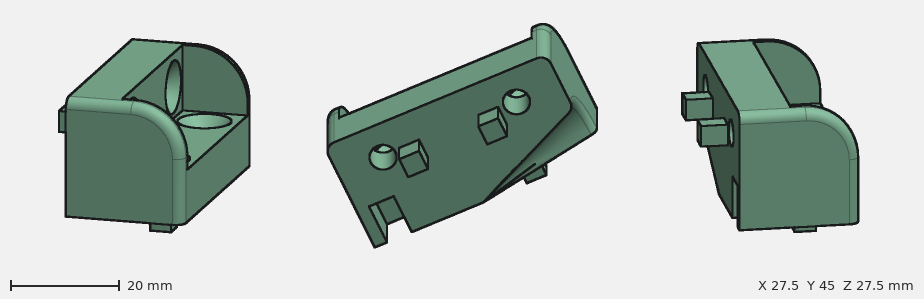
import cadquery as cq


side = 22.5
length = 45.0
leg_thickness = 10.0
cheek_thickness = 3.0
corner_radius = 10.0
edge_radius = 2.0

screw_diameter = 5.0
countersink_diameter = 10.0
countersink_depth = 2.5
screw_height = 16.0
screw_spacing = 27.0

peg_size = 4.0
peg_length = 5.0
peg_bottom = 12.5
peg_spacing = 16.0

notch_size = 8.0
notch_width = 5.0
notch_center_y = -17.5

flare_radius = 10.5
flare_length = 23.0

peg_height = peg_bottom + peg_size / 2


def swap_x_and_z(shape):
    """Mirror a wall feature in the plane X = Z to get the matching floor feature."""
    return shape.mirror(cq.Vector(1, 0, -1), (0, 0, 0))


def make_body():
    """Block with a rounded corner and rim, hollowed between the cheeks."""
    block = cq.Workplane("XY").box(side, length, side, centered=(False, True, False))
    block = block.edges(">X and >Z").fillet(corner_radius)
    block = block.faces("<Y or >Y").edges("not(<X or <Z)").fillet(edge_radius)
    pocket_size = side - leg_thickness
    pocket = (
        cq.Workplane("XY")
        .box(pocket_size, length - 2 * cheek_thickness, pocket_size, centered=(False, True, False))
        .translate((leg_thickness, 0, leg_thickness))
    )
    return block.cut(pocket)


def make_screw_cutter(y):
    """Countersunk hole through the wall, wide end on the inner face."""
    profile = (
        cq.Workplane("XY")
        .polyline(
            [
                (0, 0),
                (0, screw_diameter / 2),
                (leg_thickness - countersink_depth, screw_diameter / 2),
                (leg_thickness, countersink_diameter / 2),
                (leg_thickness, 0),
            ]
        )
        .close()
    )
    return profile.revolve(360, (0, 0, 0), (1, 0, 0)).translate((0, y, screw_height))


def make_peg(y):
    """Square peg standing out from the wall."""
    return cq.Workplane("XY").box(peg_length, peg_size, peg_size).translate((-peg_length / 2, y, peg_height))


def make_notch_cutter():
    """Square notch cut into the outer corner edge."""
    return (
        cq.Workplane("XY")
        .box(notch_size, notch_width, notch_size, centered=(False, True, False))
        .translate((0, notch_center_y, 0))
    )


def make_flare_cutter():
    """Cone along the outer corner edge, widening to its full radius at the +Y end."""
    tip = cq.Vector(0, length / 2 - flare_length, 0)
    axis = cq.Vector(0, 1, 0)
    return cq.Workplane(cq.Solid.makeCone(0, flare_radius, flare_length, tip, axis))


def round_flare_mouth(part):
    """Round the circular edge where the flare opens through the +Y cheek."""
    largest_circle = cq.selectors.RadiusNthSelector(-1)
    return part.faces(">Y").edges("%CIRCLE").edges(largest_circle).fillet(edge_radius)


result = make_body().cut(make_flare_cutter())
result = round_flare_mouth(result)
result = result.cut(make_notch_cutter())

for direction in (-1, 1):
    screw_cutter = make_screw_cutter(direction * screw_spacing / 2)
    result = result.cut(screw_cutter).cut(swap_x_and_z(screw_cutter))
    peg = make_peg(direction * peg_spacing / 2)
    result = result.union(peg).union(swap_x_and_z(peg))